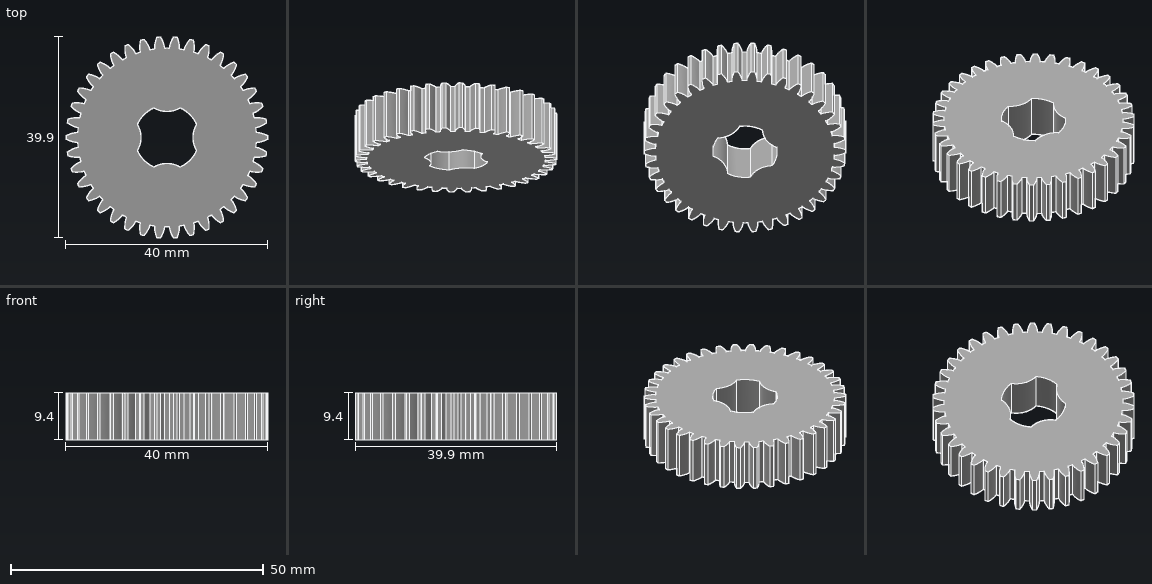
import cadquery as cq
import math

tooth_count = 38
outer_diameter = 40.0
face_width = 9.4
pressure_angle = math.radians(20)
dedendum_factor = 1.25
flank_steps = 6

module = outer_diameter / (tooth_count + 2)
outer_radius = outer_diameter / 2
pitch_radius = module * tooth_count / 2
root_radius = pitch_radius - dedendum_factor * module
base_radius = pitch_radius * math.cos(pressure_angle)
tooth_pitch = 2 * math.pi / tooth_count

bore_diameter = 12.8
key_gap = 10.25
key_radius = 5.0
key_count = 4


def polar(radius, angle):
    return (radius * math.cos(angle), radius * math.sin(angle))


def involute_angle(radius):
    """Polar angle swept by the involute between the base circle and a radius."""
    roll_angle = math.acos(base_radius / radius)
    return math.tan(roll_angle) - roll_angle


def half_tooth_angle(radius):
    """Half the angle that one tooth spans at a radius."""
    return tooth_pitch / 4 + involute_angle(pitch_radius) - involute_angle(radius)


def flank_points(center_angle, side):
    """Points from base circle to tip; side is -1 or +1 in turning direction."""
    points = []
    for step in range(flank_steps + 1):
        radius = base_radius + (outer_radius - base_radius) * step / flank_steps
        points.append(polar(radius, center_angle + side * half_tooth_angle(radius)))
    return points


def gear_blank():
    """Closed toothed outline, with one tooth centred on +X, extruded to the face width."""
    root_half_angle = half_tooth_angle(base_radius)
    outline = cq.Workplane("XY").moveTo(*polar(root_radius, -root_half_angle))
    for tooth in range(tooth_count):
        center_angle = tooth * tooth_pitch
        rising = flank_points(center_angle, -1)
        falling = flank_points(center_angle, 1)[::-1]
        space_middle = polar(root_radius, center_angle + tooth_pitch / 2)
        space_end = polar(root_radius, center_angle + tooth_pitch - root_half_angle)

        outline = outline.lineTo(*rising[0])
        outline = outline.spline(rising[1:], includeCurrent=True)
        outline = outline.threePointArc(polar(outer_radius, center_angle), falling[0])
        outline = outline.spline(falling[1:], includeCurrent=True)
        outline = outline.lineTo(*polar(root_radius, center_angle + root_half_angle))
        outline = outline.threePointArc(space_middle, space_end)
    return outline.close().extrude(face_width)


def keyed_bore():
    """Through-bore volume: a cylinder with the four round keys removed from it."""
    key_center_radius = key_gap / 2 + key_radius
    cylinder = cq.Workplane("XY").circle(bore_diameter / 2).extrude(face_width)
    keys = (
        cq.Workplane("XY")
        .polarArray(key_center_radius, 0, 360, key_count)
        .circle(key_radius)
        .extrude(face_width)
    )
    return cylinder.cut(keys)


result = gear_blank().cut(keyed_bore())